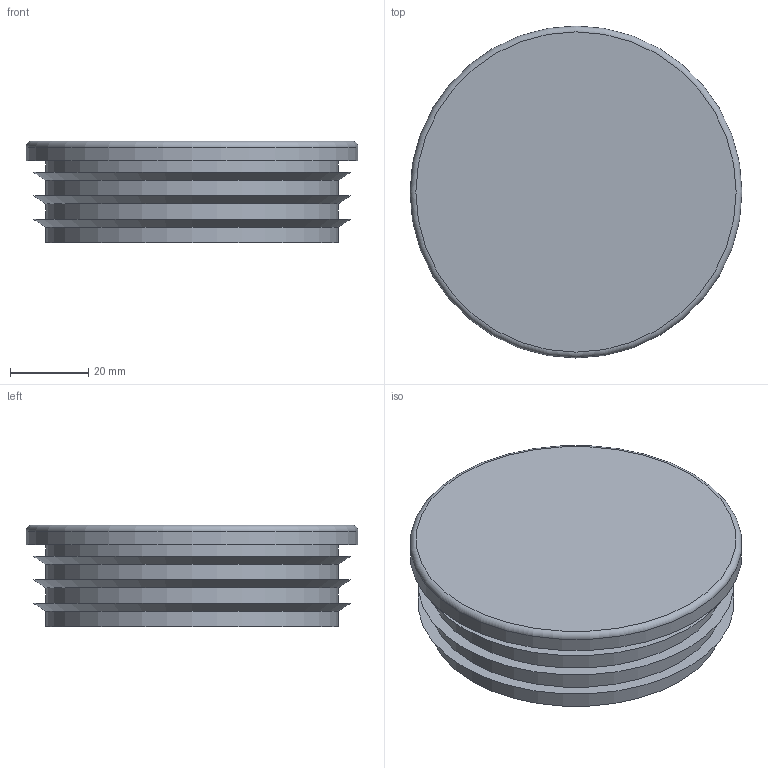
import cadquery as cq


head_diameter = 85.0
head_thickness = 5.0
head_edge_radius = 1.5

total_height = 26.0
plug_diameter = 75.0
plug_height = total_height - head_thickness

fin_diameter = 81.0
fin_height = 2.0
fin_count = 3
fin_pitch = 6.0
lowest_fin_base = 4.0


def make_plug():
    return cq.Workplane("XY").circle(plug_diameter / 2).extrude(plug_height)


def make_head():
    head = cq.Workplane("XY").workplane(offset=plug_height).circle(head_diameter / 2).extrude(head_thickness)
    return head.faces(">Z").edges().fillet(head_edge_radius)


def make_fin(base_height):
    """Cone widening upwards from the plug surface to a flat top."""
    fin_top = base_height + fin_height
    profile = (
        cq.Workplane("XZ")
        .moveTo(0, base_height)
        .lineTo(plug_diameter / 2, base_height)
        .lineTo(fin_diameter / 2, fin_top)
        .lineTo(0, fin_top)
        .close()
    )
    return profile.revolve(360, (0, 0, 0), (0, 1, 0))


result = make_plug().union(make_head())
for fin_index in range(fin_count):
    result = result.union(make_fin(lowest_fin_base + fin_index * fin_pitch))